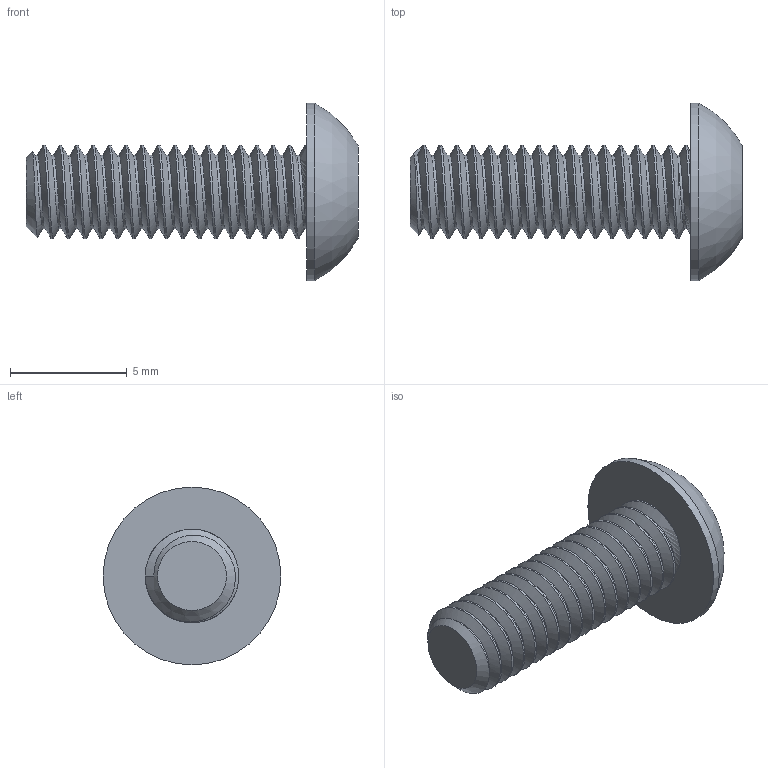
import cadquery as cq
import math


AXIS_START = (0, 0, 0)
AXIS_END = (1, 0, 0)

thread_diameter = 4.0
pitch = 0.7
shank_length = 12.0
tip_diameter = 2.95
groove_start_setback = 0.25
flank_half_angle = math.radians(30)

head_diameter = 7.6
head_height = 2.2
head_top_diameter = 4.0
rim_width = 0.34

thread_radius = thread_diameter / 2
thread_depth = 17 * math.sqrt(3) / 48 * pitch
root_radius = thread_radius - thread_depth
crest_width = pitch / 8
groove_start = -shank_length + groove_start_setback

groove_overshoot = 0.05
rod_allowance = 2 * pitch
groove_length = pitch * (math.ceil(shank_length / pitch) + 1)


def make_thread_groove():
    """Right-handed V groove with a flat root, from the +Y side of the tip to past the head."""
    half_root = (pitch - crest_width) / 2 - thread_depth * math.tan(flank_half_angle)
    mouth_radius = thread_radius + groove_overshoot
    half_mouth = half_root + (mouth_radius - root_radius) * math.tan(flank_half_angle)
    helix = cq.Wire.makeHelix(pitch, groove_length, root_radius)
    groove = (
        cq.Workplane("XZ")
        .moveTo(root_radius, -half_root)
        .lineTo(mouth_radius, -half_mouth)
        .lineTo(mouth_radius, half_mouth)
        .lineTo(root_radius, half_root)
        .close()
        .sweep(cq.Workplane(helix), isFrenet=True)
    )
    along_x = groove.rotate((0, 0, 0), (0, 1, 0), 90)
    starting_at_y = along_x.rotate(AXIS_START, AXIS_END, 90)
    return starting_at_y.translate((groove_start, 0, 0))


def make_shank_trimmer():
    """Solid of revolution with the shank's end planes and its 45 degree tip cone."""
    tip_radius = tip_diameter / 2
    outer_radius = thread_diameter
    return (
        cq.Workplane("XY")
        .moveTo(-shank_length, 0)
        .lineTo(-shank_length, tip_radius)
        .lineTo(-shank_length + outer_radius - tip_radius, outer_radius)
        .lineTo(0, outer_radius)
        .lineTo(0, 0)
        .close()
        .revolve(360, AXIS_START, AXIS_END)
    )


def make_threaded_shank():
    """Overlong rod with the whole groove cut in it, trimmed to the shank."""
    rod = cq.Workplane("YZ").circle(thread_radius).extrude(groove_length + 2 * rod_allowance)
    rod = rod.translate((groove_start - rod_allowance, 0, 0))
    return rod.cut(make_thread_groove()).intersect(make_shank_trimmer())


def make_head():
    """Button head: short cylindrical rim, spherical dome centred on the axis, flat top."""
    rim_radius = head_diameter / 2
    top_radius = head_top_diameter / 2
    dome_run = head_height - rim_width
    mid_x = (rim_width + head_height) / 2
    dome_center = mid_x - (rim_radius**2 - top_radius**2) / (2 * dome_run)
    dome_radius = math.hypot(head_height - dome_center, top_radius)
    mid_radius = math.sqrt(dome_radius**2 - (mid_x - dome_center) ** 2)
    return (
        cq.Workplane("XY")
        .lineTo(0, rim_radius)
        .lineTo(rim_width, rim_radius)
        .threePointArc((mid_x, mid_radius), (head_height, top_radius))
        .lineTo(head_height, 0)
        .close()
        .revolve(360, AXIS_START, AXIS_END)
    )


result = make_head().union(make_threaded_shank())